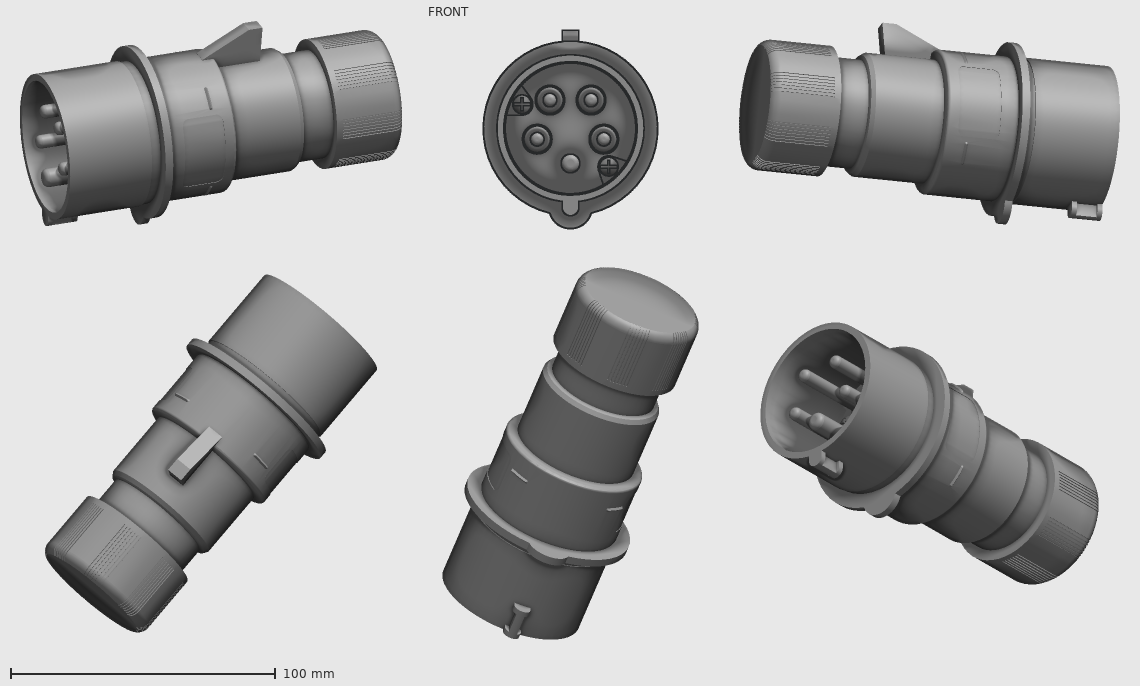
import cadquery as cq
import math


OVERALL_LENGTH = 136.2
OVERALL_HEIGHT = 74.9
OVERLAP = 0.7

EARTH_TIP_Y = -1.0
PIN_TIP_Y = 1.0
SLEEVE_END_Y = 32.8
FLANGE_FRONT_Y = 36.5
FLANGE_BACK_Y = 39.5
HOUSING_FRONT_Y = 40.0
HOUSING_END_Y = 67.1
COLLAR_END_Y = 95.9
CAP_FRONT_Y = 108.3
CAP_END_Y = EARTH_TIP_Y + OVERALL_LENGTH

SLEEVE_R = 27.8
HOUSING_R = 27.5
FLANGE_NECK_R = 27.2
FLANGE_R = 33.0
COLLAR_R = 23.5
NECK_R = 20.7
CAP_R = 24.8

HOUSING_ROUND = 1.2
COLLAR_CHAMFER_RADIAL = 1.1
COLLAR_CHAMFER_AXIAL = 1.6
END_FACE_RISE = 0.5
CAP_ROUND_AXIAL = 3.8
CAP_ROUND_RADIAL = 2.3

GRIP_GROUPS = 8
GROOVES_PER_GROUP = 7
GROOVE_PITCH_ANGLE = 3.0
GROOVE_WIDTH = 0.4
GROOVE_DEPTH = 0.4
GROOVE_START_Y = 110.7

SOCKET_MOUTH_R = 25.2
SOCKET_FLOOR_R = 24.7
FLOOR_Y = 36.8

PIN_COUNT = 5
PIN_CIRCLE_R = 13.2
EARTH_ANGLE = -90
PIN_R = 2.6
PIN_NOSE_R = 0.7
EARTH_PIN_R = 3.5
EARTH_NOSE_R = 1.5
INSULATOR_ROOT_R = 5.6
INSULATOR_SHOULDER_R = 5.0
INSULATOR_ROUND = 1.5
INSULATOR_HEIGHT = 2.7

SCREW_CIRCLE_R = 20.4
SCREW_ANGLES = (153.5, -45)
SCREW_HEAD_R = 3.5
SCREW_EDGE_HEIGHT = 0.7
SCREW_DOME_HEIGHT = 1.4
SCREW_SLOT_DEPTH = 1.1
WIDE_SLOT_WIDTH = 1.1
NARROW_SLOT_WIDTH = 0.8
NARROW_SLOT_LENGTH = 4.9
SCREW_POCKET_R = 4.1
SCREW_POCKET_HALF_ANGLE = 27
SCREW_POCKET_DEPTH = 2.0

LOBE_R = 8.2
LOBE_BOTTOM_Z = -37.9
KEY_WIDTH = 6.4
KEY_BOTTOM_Z = -33.0
KEY_LENGTH = 12.0
KEY_WEB_WIDTH = 3.3
KEY_PLATE = 2.0
HOOK_WIDTH = 6.4
HOOK_TOP_Z = LOBE_BOTTOM_Z + OVERALL_HEIGHT
HOOK_ROOT_DEPTH = 2.0
HOOK_ROOT_Z = COLLAR_R - HOOK_ROOT_DEPTH
HOOK_BACK_TOP_Y = 86.2
HOOK_BACK_ROOT_Y = 85.0
HOOK_NOSE_Y = 80.8
HOOK_FRONT_Y = 62.0

RECESS_FRONT_Y = 46.3
RECESS_BACK_Y = 62.5
RECESS_HEIGHT = 28.3
RECESS_CORNER_R = 2.6
RECESS_DEPTH = 0.3
MARK_Y = 58.5
MARK_HALF_WIDTH = 0.7
MARK_HEIGHT = 0.7
MARK_SPAN_ANGLE = 16.5
MARK_ANGLES = (45, 135, 225, 315)


def turned(outline):
    """Revolve a closed outline of (radius, y) about the Y axis."""
    return outline.close().revolve(360, (0, 0, 0), (0, 1, 0))


def cylinder(radius, y_start, y_end):
    """Round bar on the Y axis."""
    return cq.Workplane("XZ").workplane(offset=-y_start).circle(radius).extrude(y_start - y_end)


def polar(radius, angle):
    """Point (x, z) at an angle counted from +X toward +Z."""
    return radius * math.cos(math.radians(angle)), radius * math.sin(math.radians(angle))


def cap_round_radius():
    """Radius of the arc that leaves the cap side tangentially and ends on the rear face."""
    return (CAP_ROUND_AXIAL**2 + CAP_ROUND_RADIAL**2) / (2 * CAP_ROUND_RADIAL)


def cap_round_points(side_radius):
    """Middle and end (radius, y) of the rounded rear edge of a cap with the given side radius."""
    arc_r = cap_round_radius()
    half_sweep = math.asin(CAP_ROUND_AXIAL / arc_r) / 2
    middle = (
        side_radius - arc_r * (1 - math.cos(half_sweep)),
        CAP_END_Y - CAP_ROUND_AXIAL + arc_r * math.sin(half_sweep),
    )
    return middle, (side_radius - CAP_ROUND_RADIAL, CAP_END_Y)


def make_body():
    """Solid of revolution from the sleeve mouth to the cap."""
    round_start_y = HOUSING_END_Y - HOUSING_ROUND
    chamfer_start_y = COLLAR_END_Y - COLLAR_CHAMFER_AXIAL
    return turned(
        cq.Workplane("XY")
        .moveTo(0, 0)
        .lineTo(SLEEVE_R, 0)
        .lineTo(SLEEVE_R, SLEEVE_END_Y)
        .lineTo(FLANGE_NECK_R, SLEEVE_END_Y)
        .lineTo(FLANGE_NECK_R, FLANGE_FRONT_Y)
        .lineTo(FLANGE_R, FLANGE_FRONT_Y)
        .lineTo(FLANGE_R, FLANGE_BACK_Y)
        .lineTo(FLANGE_NECK_R, FLANGE_BACK_Y)
        .lineTo(FLANGE_NECK_R, HOUSING_FRONT_Y)
        .lineTo(HOUSING_R, HOUSING_FRONT_Y)
        .lineTo(HOUSING_R, round_start_y)
        .radiusArc((HOUSING_R - HOUSING_ROUND, HOUSING_END_Y), -HOUSING_ROUND)
        .lineTo(COLLAR_R, HOUSING_END_Y + END_FACE_RISE)
        .lineTo(COLLAR_R, chamfer_start_y)
        .lineTo(COLLAR_R - COLLAR_CHAMFER_RADIAL, COLLAR_END_Y)
        .lineTo(NECK_R, COLLAR_END_Y + END_FACE_RISE)
        .lineTo(NECK_R, CAP_FRONT_Y)
        .lineTo(CAP_R, CAP_FRONT_Y)
        .lineTo(CAP_R, CAP_END_Y - CAP_ROUND_AXIAL)
        .threePointArc(*cap_round_points(CAP_R))
        .lineTo(0, CAP_END_Y)
    )


def make_grip_grooves():
    """Groups of narrow lengthwise grooves that follow the cap side and its rounded rear edge."""
    floor_r = CAP_R - GROOVE_DEPTH
    outside_r = CAP_R + OVERLAP
    groove = (
        cq.Workplane("XY")
        .moveTo(floor_r, GROOVE_START_Y)
        .lineTo(floor_r, CAP_END_Y - CAP_ROUND_AXIAL)
        .threePointArc(*cap_round_points(floor_r))
        .lineTo(outside_r, CAP_END_Y)
        .lineTo(outside_r, GROOVE_START_Y)
        .close()
        .extrude(GROOVE_WIDTH / 2, both=True)
        .val()
    )
    middle = (GROOVES_PER_GROUP - 1) / 2
    cutters = []
    for group in range(GRIP_GROUPS):
        for index in range(GROOVES_PER_GROUP):
            angle = group * 360 / GRIP_GROUPS + (index - middle) * GROOVE_PITCH_ANGLE
            cutters.append(groove.rotate((0, 0, 0), (0, 1, 0), angle))
    return cq.Workplane(cq.Compound.makeCompound(cutters))


def make_socket():
    """Slightly tapered cavity inside the sleeve."""
    return turned(
        cq.Workplane("XY")
        .moveTo(0, 0)
        .lineTo(SOCKET_MOUTH_R, 0)
        .lineTo(SOCKET_FLOOR_R, FLOOR_Y)
        .lineTo(0, FLOOR_Y)
    )


def make_pin(radius, nose_radius, tip_y):
    """Round-nosed pin on the Y axis, rooted in the socket floor."""
    nose = radius - nose_radius
    return turned(
        cq.Workplane("XY")
        .moveTo(0, tip_y)
        .lineTo(nose_radius, tip_y)
        .radiusArc((radius, tip_y + nose), -nose)
        .lineTo(radius, FLOOR_Y + OVERLAP)
        .lineTo(0, FLOOR_Y + OVERLAP)
    )


def make_insulator():
    """Tapered, round-edged collar at the foot of a live pin."""
    top_y = FLOOR_Y - INSULATOR_HEIGHT
    return turned(
        cq.Workplane("XY")
        .moveTo(0, top_y)
        .lineTo(INSULATOR_SHOULDER_R - INSULATOR_ROUND, top_y)
        .radiusArc((INSULATOR_SHOULDER_R, top_y + INSULATOR_ROUND), -INSULATOR_ROUND)
        .lineTo(INSULATOR_ROOT_R, FLOOR_Y)
        .lineTo(INSULATOR_ROOT_R, FLOOR_Y + OVERLAP)
        .lineTo(0, FLOOR_Y + OVERLAP)
    )


def add_pins(body):
    """Earth pin at the bottom and live pins evenly spaced around the circle."""
    earth_pin = make_pin(EARTH_PIN_R, EARTH_NOSE_R, EARTH_TIP_Y)
    live_pin = make_pin(PIN_R, PIN_NOSE_R, PIN_TIP_Y).union(make_insulator())
    for index in range(PIN_COUNT):
        x, z = polar(PIN_CIRCLE_R, EARTH_ANGLE + index * 360 / PIN_COUNT)
        pin = earth_pin if index == 0 else live_pin
        body = body.union(pin.translate((x, 0, z)))
    return body


def make_screw_pocket():
    """Pocket around a screw on the +X axis, opening out to the socket wall along two tangents."""
    depth_end_y = FLOOR_Y + SCREW_POCKET_DEPTH
    tangent_x, tangent_z = polar(SCREW_POCKET_R, 90 + SCREW_POCKET_HALF_ANGLE)
    start_x = SCREW_CIRCLE_R + tangent_x
    end_z = tangent_z + (SOCKET_MOUTH_R - start_x) * math.tan(math.radians(SCREW_POCKET_HALF_ANGLE))
    return (
        cq.Workplane("XZ")
        .workplane(offset=-FLOOR_Y)
        .moveTo(start_x, tangent_z)
        .lineTo(SOCKET_MOUTH_R, end_z)
        .lineTo(SOCKET_MOUTH_R, -end_z)
        .lineTo(start_x, -tangent_z)
        .threePointArc((SCREW_CIRCLE_R - SCREW_POCKET_R, 0), (start_x, tangent_z))
        .close()
        .extrude(-SCREW_POCKET_DEPTH)
        .intersect(cylinder(SOCKET_FLOOR_R, FLOOR_Y, depth_end_y))
    )


def make_screw_head():
    """Domed screw head on the Y axis with a cross slot, standing on the pocket floor."""
    seat_y = FLOOR_Y + SCREW_POCKET_DEPTH
    edge_y = seat_y - SCREW_EDGE_HEIGHT
    top_y = edge_y - SCREW_DOME_HEIGHT
    dome_r = (SCREW_HEAD_R**2 + SCREW_DOME_HEIGHT**2) / (2 * SCREW_DOME_HEIGHT)
    head = turned(
        cq.Workplane("XY")
        .moveTo(0, top_y)
        .radiusArc((SCREW_HEAD_R, edge_y), -dome_r)
        .lineTo(SCREW_HEAD_R, seat_y + OVERLAP)
        .lineTo(0, seat_y + OVERLAP)
    )
    slots = (
        cq.Workplane("XZ")
        .workplane(offset=-top_y)
        .rect(2 * SCREW_HEAD_R, WIDE_SLOT_WIDTH)
        .extrude(-SCREW_SLOT_DEPTH)
        .union(
            cq.Workplane("XZ")
            .workplane(offset=-top_y)
            .rect(NARROW_SLOT_WIDTH, NARROW_SLOT_LENGTH)
            .extrude(-SCREW_SLOT_DEPTH)
        )
    )
    return head.cut(slots)


def add_screws(body):
    """Screws in their pockets near the socket wall."""
    pocket = make_screw_pocket()
    head = make_screw_head()
    for angle in SCREW_ANGLES:
        x, z = polar(SCREW_CIRCLE_R, angle)
        body = body.cut(pocket.rotate((0, 0, 0), (0, 1, 0), -angle))
        body = body.union(head.translate((x, 0, z)))
    return body


def make_flange_lobe():
    """Round lobe at the bottom of the flange."""
    lobe = cylinder(LOBE_R, FLANGE_FRONT_Y, FLANGE_BACK_Y)
    lobe = lobe.translate((0, 0, LOBE_BOTTOM_Z + LOBE_R))
    return lobe.cut(cylinder(SLEEVE_R - OVERLAP, FLANGE_FRONT_Y, FLANGE_BACK_Y))


def make_key():
    """Round-bottomed key under the sleeve, waisted between its two end plates."""
    root_z = OVERLAP - SLEEVE_R
    half = KEY_WIDTH / 2
    web_length = KEY_LENGTH - 2 * KEY_PLATE
    key = (
        cq.Workplane("XZ")
        .moveTo(-half, root_z)
        .lineTo(-half, KEY_BOTTOM_Z + half)
        .threePointArc((0, KEY_BOTTOM_Z), (half, KEY_BOTTOM_Z + half))
        .lineTo(half, root_z)
        .close()
        .extrude(-KEY_LENGTH)
    )
    side_cut_width = (KEY_WIDTH - KEY_WEB_WIDTH) / 2
    cut_height = root_z - KEY_BOTTOM_Z
    for side in (-1, 1):
        waist = cq.Workplane("XY").box(side_cut_width, web_length, cut_height)
        waist_x = side * (KEY_WEB_WIDTH + side_cut_width) / 2
        key = key.cut(waist.translate((waist_x, KEY_LENGTH / 2, KEY_BOTTOM_Z + cut_height / 2)))
    return key


def make_hook():
    """Latch hook on top, sloping down to the housing."""
    return (
        cq.Workplane("YZ")
        .moveTo(HOOK_BACK_ROOT_Y, HOOK_ROOT_Z)
        .lineTo(HOOK_BACK_TOP_Y, HOOK_TOP_Z)
        .lineTo(HOOK_NOSE_Y, HOOK_TOP_Z)
        .lineTo(HOOK_FRONT_Y, HOUSING_R)
        .lineTo(HOOK_FRONT_Y, HOOK_ROOT_Z)
        .close()
        .extrude(HOOK_WIDTH / 2, both=True)
    )


def make_label_recesses():
    """Shallow round-cornered recesses that follow the housing on both sides."""
    length = RECESS_BACK_Y - RECESS_FRONT_Y
    windows = (
        cq.Workplane("XY")
        .box(3 * HOUSING_R, length, RECESS_HEIGHT)
        .edges("|X")
        .fillet(RECESS_CORNER_R)
        .translate((0, RECESS_FRONT_Y + length / 2, 0))
    )
    core = cylinder(HOUSING_R - RECESS_DEPTH, RECESS_FRONT_Y - OVERLAP, RECESS_BACK_Y + OVERLAP)
    return windows.cut(core)


def make_mark():
    """Ridge of triangular section that runs around the housing, tapered at both ends, centred on +X."""
    root_r = HOUSING_R - OVERLAP
    root_half_width = MARK_HALF_WIDTH * (MARK_HEIGHT + OVERLAP) / MARK_HEIGHT
    section = (
        cq.Workplane("XY")
        .moveTo(root_r, MARK_Y - root_half_width)
        .lineTo(HOUSING_R + MARK_HEIGHT, MARK_Y)
        .lineTo(root_r, MARK_Y + root_half_width)
        .close()
    )
    ridge = section.revolve(MARK_SPAN_ANGLE, (0, 0, 0), (0, 1, 0))
    ridge = ridge.rotate((0, 0, 0), (0, 1, 0), -MARK_SPAN_ANGLE / 2)
    end_cone = cq.Workplane(
        cq.Solid.makeCone(
            root_half_width,
            0,
            MARK_HEIGHT + OVERLAP,
            pnt=cq.Vector(root_r, MARK_Y, 0),
            dir=cq.Vector(1, 0, 0),
        )
    )
    for end_angle in (-MARK_SPAN_ANGLE / 2, MARK_SPAN_ANGLE / 2):
        ridge = ridge.union(end_cone.rotate((0, 0, 0), (0, 1, 0), end_angle))
    return ridge


def add_marks(body):
    """Raised ridges around the housing."""
    mark = make_mark()
    for angle in MARK_ANGLES:
        body = body.union(mark.rotate((0, 0, 0), (0, 1, 0), -angle))
    return body


body = make_body().cut(make_grip_grooves())
body = body.union(make_flange_lobe()).union(make_key()).union(make_hook())
body = body.cut(make_label_recesses())
body = add_marks(body)
body = body.cut(make_socket())
body = add_screws(body)
result = add_pins(body)